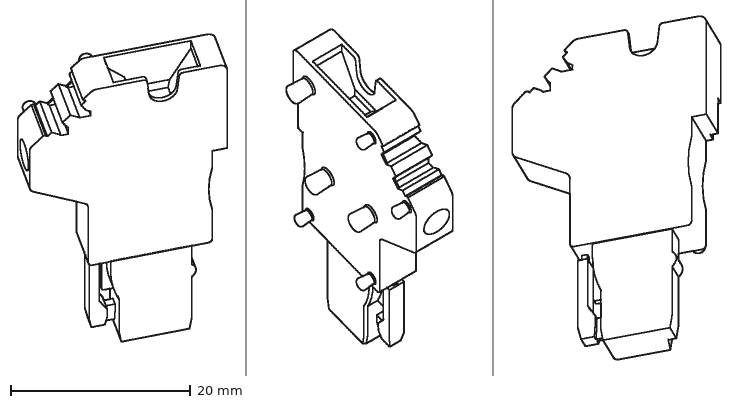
import cadquery as cq
import math

BODY_WIDTH = 5.1
TOP_Z = 41.0
BODY_BOTTOM_Z = 13.2
BACK_Y = 22.9
BACK_STEP_Y = 21.15
BACK_STEP_Z = 27.65
LOWER_FRONT_Y = 6.8
CORNER_RADIUS = 1.0
BOTTOM_CORNER_RADIUS = 0.5
NOSE_LOW_Z = 26.9
NOSE_UNDERSIDE_ANGLE = math.radians(30)
HOLLOW_Z = 21.7
HOLLOW_HALF_LENGTH = 3.3
HOLLOW_DEPTH = 0.4

SLOPE_TOP_Y = 7.38
RIDGE_DEPTH = 0.47
GROOVE_DEPTH = 1.47
GROOVE_MOUTH = 1.76
GROOVE_FLOOR = 1.28
GROOVE_STARTS = (2.47, 5.53)
UNDERCUT_CORNERS = ((7.1, 37.0), (4.5, 34.75))
OVERHANG_SLOPE = 0.75
UNDERCUT_SILL = 0.2
UNDERCUT_X = 0.2
TOOTH_ZONE_START = 1.73
TOOTH_ZONE_END = 8.0
LIP_DEPTH = 0.2

BACK_RECESS_DEPTH_X = 1.0
BACK_RECESS_DEPTH_Y = 0.92
BACK_RECESS_TOP_Z = 32.35

ENTRY_X = 2.84
ENTRY_Z = 30.43
ENTRY_RADIUS = 1.78
ENTRY_DEPTH = 6.0

POCKET_X_MIN = 0.51
POCKET_X_MAX = 4.56
POCKET_BACK_Y = 19.92
POCKET_FRONT_Y = 9.85
POCKET_BACK_WALL = 1.2
POCKET_FLOOR_Z = 34.9
FLOOR_BACK_Y = 17.12
FLOOR_FRONT_Y = 14.2
RAMP_STEP_LOW_Y = 12.4
RAMP_STEP_HIGH_Y = 12.2
RAMP_STEP_HEIGHT = 0.6
RAMP_TOP_Y = 10.14
RAMP_SLOPE = 1.0
FLOOR_BEVEL_HEIGHT = 0.6
LEFT_BEVEL_WIDTH = 0.58
RIGHT_BEVEL_WIDTH = 0.26

NOTCH_Y = 15.48
NOTCH_RADIUS = 1.65
NOTCH_BOTTOM_Z = 37.1
NOTCH_WALL_LEAN = math.radians(6)
NOTCH_RIM_RADIUS = 0.45

LARGE_PINS = ((19.93, 37.12), (16.42, 24.55), (8.42, 25.76))
SMALL_PINS = ((8.26, 39.27), (1.73, 33.47), (19.79, 14.58), (8.26, 14.58))
LARGE_PIN = {"length": 2.48, "crown_radius": 1.15, "neck_radius": 1.05, "neck_start": 0.5, "neck_end": 0.25}
SMALL_PIN = {"length": 1.75, "crown_radius": 0.76, "neck_radius": 0.67, "neck_start": 0.32, "neck_end": 0.18}
PIN_TIP_RADIUS = 0.3

PLUG_X_MIN = 0.7
PLUG_X_MAX = 4.97
PLUG_BACK_Y = 18.81
PLUG_FRONT_Y = 10.41
PLUG_UPPER_FRONT_Y = 9.43
PLUG_CURVE_TOP_Z = 11.34
PLUG_CURVE_BOTTOM_Z = 6.8
PLUG_TAPER_Z = 1.6
PLUG_TAPER = 0.25
PLUG_BEVEL_X = 0.32
PLUG_BEVEL_Y = 0.25
BUMP_Z = 9.17
BUMP_HALF_LENGTH = 1.0
BUMP_HEIGHT = 0.5
STRIP_DEPTH = 2.0
STRIP_EDGE_Y = 17.85
STRIP_RISE_Y = 0.42
OVERLAP = 0.5

LEVER_X = 2.75
LEVER_WIDTH = 2.05
LEVER_FRONT_Y = 7.28
LEVER_BACK_Y = 8.45
LEVER_FOOT_BACK_Y = 9.36
LEVER_TOP_Z = 12.17
LEVER_KNEE_Z = 5.88
LEVER_FOOT_Z = 4.35
LEVER_TAPER_Z = 3.2
LEVER_BOTTOM_Z = 1.71
LEVER_FRONT_TAPER = 0.3
LEVER_BACK_TAPER = 0.2
LEVER_SIDE_TAPER = 0.25
STEM_WIDTH = 0.67
STEM_FRONT_Y = 7.53
STEM_BACK_Y = 8.2
BRIDGE_WIDTH = 0.9
LUG_FRONT_Y = 8.88
LUG_CORNER_RADIUS = 0.3


def side_sketch(x):
    """Workplane with local axes Y and Z at the given X, extruding toward +X."""
    return cq.Workplane("YZ", origin=(x, 0, 0))


def slope_point(along, depth):
    """Y, Z of a point given along the toothed slope and below its plane."""
    return (
        SLOPE_TOP_Y + (depth - along) / math.sqrt(2),
        TOP_Z - (depth + along) / math.sqrt(2),
    )


def tooth_outline():
    """Stepped outline down the slope, from the top lip to the nose lip."""
    groove_taper = (GROOVE_MOUTH - GROOVE_FLOOR) / 2
    points = [
        slope_point(TOOTH_ZONE_START, 0),
        slope_point(TOOTH_ZONE_START, RIDGE_DEPTH),
    ]
    for start in GROOVE_STARTS:
        end = start + GROOVE_MOUTH
        points += [
            slope_point(start, RIDGE_DEPTH),
            slope_point(start + groove_taper, GROOVE_DEPTH),
            slope_point(end - groove_taper, GROOVE_DEPTH),
            slope_point(end, RIDGE_DEPTH),
        ]
    points += [
        slope_point(TOOTH_ZONE_END, RIDGE_DEPTH),
        slope_point(TOOTH_ZONE_END, LIP_DEPTH),
        slope_point(TOOTH_ZONE_END + LIP_DEPTH, 0),
    ]
    return points


def round_edges(body, radius, corners):
    """Fillet the X-direction edges that pass through the given Y, Z corners."""
    for y, z in corners:
        edge = cq.selectors.NearestToPointSelector((BODY_WIDTH / 2, y, z))
        body = body.edges("|X").edges(edge).fillet(radius)
    return body


def make_housing():
    slope_foot = (0, TOP_Z - SLOPE_TOP_Y)
    nose_low = (0, NOSE_LOW_Z)
    nose_root = (LOWER_FRONT_Y, NOSE_LOW_Z - LOWER_FRONT_Y * math.tan(NOSE_UNDERSIDE_ANGLE))
    body = (
        side_sketch(0)
        .moveTo(BACK_Y, TOP_Z)
        .lineTo(SLOPE_TOP_Y, TOP_Z)
    )
    for point in tooth_outline():
        body = body.lineTo(*point)
    body = (
        body.lineTo(*slope_foot)
        .lineTo(*nose_low)
        .lineTo(*nose_root)
        .lineTo(LOWER_FRONT_Y, BODY_BOTTOM_Z)
        .lineTo(BACK_STEP_Y, BODY_BOTTOM_Z)
        .lineTo(BACK_STEP_Y, HOLLOW_Z - HOLLOW_HALF_LENGTH)
        .threePointArc(
            (BACK_STEP_Y - HOLLOW_DEPTH, HOLLOW_Z),
            (BACK_STEP_Y, HOLLOW_Z + HOLLOW_HALF_LENGTH),
        )
        .lineTo(BACK_STEP_Y, BACK_STEP_Z)
        .lineTo(BACK_Y, BACK_STEP_Z)
        .close()
        .extrude(BODY_WIDTH)
    )
    body = round_edges(
        body,
        CORNER_RADIUS,
        [(BACK_Y, TOP_Z), (SLOPE_TOP_Y, TOP_Z), slope_foot, nose_low, nose_root],
    )
    return round_edges(
        body,
        BOTTOM_CORNER_RADIUS,
        [(LOWER_FRONT_Y, BODY_BOTTOM_Z), (BACK_STEP_Y, BODY_BOTTOM_Z)],
    )


def make_undercut(groove_start, corner):
    """Deepens one groove behind a sloping overhang, with a vertical wall and a level floor."""
    groove_taper = (GROOVE_MOUTH - GROOVE_FLOOR) / 2
    groove_end = groove_start + GROOVE_MOUTH
    upper_mouth = slope_point(groove_start, RIDGE_DEPTH)
    upper_root = slope_point(groove_start + groove_taper, GROOVE_DEPTH)
    lower_root = slope_point(groove_end - groove_taper, GROOVE_DEPTH)
    lower_mouth = slope_point(groove_end, RIDGE_DEPTH)
    corner_y, floor_z = corner
    overhang_z = upper_root[1] - OVERHANG_SLOPE * (corner_y - upper_root[0])
    return (
        side_sketch(UNDERCUT_X)
        .polyline([
            upper_mouth,
            upper_root,
            (corner_y, overhang_z),
            (corner_y, floor_z),
            (lower_root[0] + UNDERCUT_SILL, floor_z),
            lower_root,
            lower_mouth,
        ])
        .close()
        .extrude(BODY_WIDTH - UNDERCUT_X)
    )


def make_back_recess():
    return cq.Workplane("XY").box(
        BACK_RECESS_DEPTH_X,
        BACK_RECESS_DEPTH_Y,
        BACK_RECESS_TOP_Z - BACK_STEP_Z,
        centered=False,
    ).translate((0, BACK_Y - BACK_RECESS_DEPTH_Y, BACK_STEP_Z))


def make_wire_entry():
    return (
        cq.Workplane("XZ", origin=(ENTRY_X, 0, ENTRY_Z))
        .circle(ENTRY_RADIUS)
        .extrude(-ENTRY_DEPTH)
    )


def make_floor_bevel(wall_x, width):
    """Wedge along Y that bevels the pocket floor beside one side wall."""
    return (
        cq.Workplane("XZ", origin=(wall_x, POCKET_FRONT_Y, POCKET_FLOOR_Z))
        .polyline([(0, 0), (width, 0), (0, FLOOR_BEVEL_HEIGHT)])
        .close()
        .extrude(POCKET_FRONT_Y - POCKET_BACK_Y)
    )


def make_pocket():
    step_low_z = POCKET_FLOOR_Z + RAMP_SLOPE * (FLOOR_FRONT_Y - RAMP_STEP_LOW_Y)
    step_high_z = step_low_z + RAMP_STEP_HEIGHT
    ramp_top_z = step_high_z + RAMP_SLOPE * (RAMP_STEP_HIGH_Y - RAMP_TOP_Y)
    pocket = (
        side_sketch(POCKET_X_MIN)
        .polyline([
            (POCKET_BACK_Y, TOP_Z),
            (POCKET_BACK_Y, TOP_Z - POCKET_BACK_WALL),
            (FLOOR_BACK_Y, POCKET_FLOOR_Z),
            (FLOOR_FRONT_Y, POCKET_FLOOR_Z),
            (RAMP_STEP_LOW_Y, step_low_z),
            (RAMP_STEP_HIGH_Y, step_high_z),
            (RAMP_TOP_Y, ramp_top_z),
            (POCKET_FRONT_Y, TOP_Z),
        ])
        .close()
        .extrude(POCKET_X_MAX - POCKET_X_MIN)
    )
    left_bevel = make_floor_bevel(POCKET_X_MIN, LEFT_BEVEL_WIDTH)
    right_bevel = make_floor_bevel(POCKET_X_MAX, -RIGHT_BEVEL_WIDTH)
    return pocket.cut(left_bevel).cut(right_bevel)


def make_notch():
    """U-shaped cutter whose mouth flares out with rounded rims."""
    arc_center_z = NOTCH_BOTTOM_Z + NOTCH_RADIUS
    arc_end_y = NOTCH_RADIUS * math.cos(NOTCH_WALL_LEAN)
    arc_end_z = arc_center_z - NOTCH_RADIUS * math.sin(NOTCH_WALL_LEAN)
    rim_z = TOP_Z - NOTCH_RIM_RADIUS
    rim_y = arc_end_y + (rim_z - arc_end_z) * math.tan(NOTCH_WALL_LEAN)
    mouth_y = rim_y + NOTCH_RIM_RADIUS
    rim_mid_y = mouth_y - NOTCH_RIM_RADIUS * math.sqrt(0.5)
    rim_mid_z = rim_z + NOTCH_RIM_RADIUS * math.sqrt(0.5)
    return (
        cq.Workplane("YZ", origin=(POCKET_X_MAX, NOTCH_Y, 0))
        .moveTo(-mouth_y, TOP_Z)
        .lineTo(mouth_y, TOP_Z)
        .threePointArc((rim_mid_y, rim_mid_z), (rim_y, rim_z))
        .lineTo(arc_end_y, arc_end_z)
        .threePointArc((0, NOTCH_BOTTOM_Z), (-arc_end_y, arc_end_z))
        .lineTo(-rim_y, rim_z)
        .threePointArc((-rim_mid_y, rim_mid_z), (-mouth_y, TOP_Z))
        .close()
        .extrude(BODY_WIDTH - POCKET_X_MAX)
    )


def make_pin(y, z, length, crown_radius, neck_radius, neck_start, neck_end):
    """Turned pin pointing to -X: rounded tip, slight taper to a neck, flared foot."""
    arc_mid = PIN_TIP_RADIUS * (1 - math.sqrt(0.5))
    return (
        cq.Workplane("XY")
        .moveTo(OVERLAP, 0)
        .lineTo(-length, 0)
        .lineTo(-length, crown_radius - PIN_TIP_RADIUS)
        .threePointArc(
            (arc_mid - length, crown_radius - arc_mid),
            (PIN_TIP_RADIUS - length, crown_radius),
        )
        .lineTo(-neck_start, neck_radius)
        .lineTo(-neck_end, neck_radius)
        .lineTo(0, crown_radius)
        .lineTo(OVERLAP, crown_radius)
        .close()
        .revolve(360, (0, 0, 0), (1, 0, 0))
        .translate((0, y, z))
    )


def make_plug_profile():
    """Plug side outline, extruded over the full plug width."""
    rise = PLUG_CURVE_TOP_Z - PLUG_CURVE_BOTTOM_Z
    swing = PLUG_FRONT_Y - PLUG_UPPER_FRONT_Y
    curve_radius = (rise**2 + swing**2) / (2 * swing)
    half_angle = math.asin(rise / curve_radius) / 2
    curve_mid = (
        PLUG_UPPER_FRONT_Y + curve_radius * (1 - math.cos(half_angle)),
        PLUG_CURVE_TOP_Z - curve_radius * math.sin(half_angle),
    )
    top_z = BODY_BOTTOM_Z + OVERLAP
    return (
        side_sketch(PLUG_X_MIN)
        .moveTo(PLUG_BACK_Y, top_z)
        .lineTo(PLUG_UPPER_FRONT_Y, top_z)
        .lineTo(PLUG_UPPER_FRONT_Y, PLUG_CURVE_TOP_Z)
        .threePointArc(curve_mid, (PLUG_FRONT_Y, PLUG_CURVE_BOTTOM_Z))
        .lineTo(PLUG_FRONT_Y, PLUG_TAPER_Z)
        .lineTo(PLUG_FRONT_Y + PLUG_TAPER, 0)
        .lineTo(PLUG_BACK_Y - PLUG_TAPER, 0)
        .lineTo(PLUG_BACK_Y, PLUG_TAPER_Z)
        .lineTo(PLUG_BACK_Y, BUMP_Z - BUMP_HALF_LENGTH)
        .threePointArc(
            (PLUG_BACK_Y + BUMP_HEIGHT, BUMP_Z),
            (PLUG_BACK_Y, BUMP_Z + BUMP_HALF_LENGTH),
        )
        .close()
        .extrude(PLUG_X_MAX - PLUG_X_MIN)
    )


def make_strip_cut():
    """Lowers the back strip of the -X side, with a sloped step along the plug."""
    inner_y = STRIP_EDGE_Y - STRIP_RISE_Y
    beyond_y = PLUG_BACK_Y + BUMP_HEIGHT
    section = [
        (PLUG_X_MIN, inner_y),
        (PLUG_X_MIN + STRIP_DEPTH, STRIP_EDGE_Y),
        (PLUG_X_MIN + STRIP_DEPTH, beyond_y),
        (PLUG_X_MIN, beyond_y),
    ]
    foot = [(x, y - PLUG_TAPER) for x, y in section]
    straight = (
        cq.Workplane("XY", origin=(0, 0, PLUG_TAPER_Z))
        .polyline(section)
        .close()
        .extrude(BODY_BOTTOM_Z - PLUG_TAPER_Z)
    )
    tapered = (
        cq.Workplane("XY")
        .polyline(foot)
        .close()
        .workplane(offset=PLUG_TAPER_Z)
        .polyline(section)
        .close()
        .loft(ruled=True)
    )
    return straight.union(tapered)


def make_plug():
    """Plug block with a beveled front edge and a lowered back strip on its -X side."""
    plug = make_plug_profile()
    front = cq.selectors.BoxSelector(
        (PLUG_X_MIN - OVERLAP, PLUG_UPPER_FRONT_Y - OVERLAP, OVERLAP),
        (PLUG_X_MIN + OVERLAP, PLUG_FRONT_Y + 2 * PLUG_TAPER, BODY_BOTTOM_Z),
    )
    side_face = plug.faces("<X")
    plug = side_face.edges(front).chamfer(PLUG_BEVEL_X, PLUG_BEVEL_Y)
    return plug.cut(make_strip_cut())


def centered_block(x_width, y_min, y_max, z_min, z_max):
    """Box centered on the lever in X."""
    return cq.Workplane("XY").box(x_width, y_max - y_min, z_max - z_min, centered=False).translate(
        (LEVER_X - x_width / 2, y_min, z_min)
    )


def make_tapered_foot(x_width, y_front, y_back, front_taper, back_taper):
    """Lever foot that narrows downward from the taper line to the lever bottom."""
    height = LEVER_TAPER_Z - LEVER_BOTTOM_Z
    low_front = y_front + front_taper
    low_back = y_back - back_taper
    return (
        cq.Workplane("XY", origin=(LEVER_X, (y_front + y_back) / 2, LEVER_TAPER_Z))
        .rect(x_width, y_back - y_front)
        .workplane(offset=-height)
        .center(0, (front_taper - back_taper) / 2)
        .rect(x_width - 2 * LEVER_SIDE_TAPER, low_back - low_front)
        .loft(ruled=True)
    )


def make_lever():
    """Locking lever on its stem, bridged to the plug at the foot."""
    arm = (
        side_sketch(LEVER_X - LEVER_WIDTH / 2)
        .polyline([
            (LEVER_FRONT_Y, LEVER_TOP_Z),
            (LEVER_BACK_Y, LEVER_TOP_Z),
            (LEVER_BACK_Y, LEVER_KNEE_Z),
            (LEVER_FOOT_BACK_Y, LEVER_FOOT_Z),
            (LEVER_FOOT_BACK_Y, LEVER_TAPER_Z),
            (LEVER_FRONT_Y, LEVER_TAPER_Z),
        ])
        .close()
        .extrude(LEVER_WIDTH)
    )
    foot = make_tapered_foot(
        LEVER_WIDTH, LEVER_FRONT_Y, LEVER_FOOT_BACK_Y, LEVER_FRONT_TAPER, LEVER_BACK_TAPER
    )
    bridge_back_y = PLUG_FRONT_Y + OVERLAP
    bridge = centered_block(
        BRIDGE_WIDTH, LEVER_BACK_Y, bridge_back_y, LEVER_TAPER_Z, LEVER_FOOT_Z
    )
    bridge_foot = make_tapered_foot(BRIDGE_WIDTH, LEVER_BACK_Y, bridge_back_y, 0, 0)
    stem = centered_block(
        STEM_WIDTH, STEM_FRONT_Y, STEM_BACK_Y, LEVER_TOP_Z - OVERLAP, BODY_BOTTOM_Z + OVERLAP
    )
    return arm.union(foot).union(bridge).union(bridge_foot).union(stem)


def make_lug():
    """Narrow rib on the plug front, behind the lever."""
    lug = centered_block(
        STEM_WIDTH, LUG_FRONT_Y, PLUG_FRONT_Y + OVERLAP, PLUG_CURVE_BOTTOM_Z, BODY_BOTTOM_Z + OVERLAP
    )
    return lug.edges("|X and <Y and <Z").fillet(LUG_CORNER_RADIUS)


result = make_housing()
for cutter in (make_back_recess(), make_wire_entry(), make_pocket(), make_notch()):
    result = result.cut(cutter)
for groove, undercut_corner in zip(GROOVE_STARTS, UNDERCUT_CORNERS):
    result = result.cut(make_undercut(groove, undercut_corner))
for addition in (make_plug(), make_lug(), make_lever()):
    result = result.union(addition)
for pin_y, pin_z in LARGE_PINS:
    result = result.union(make_pin(pin_y, pin_z, **LARGE_PIN))
for pin_y, pin_z in SMALL_PINS:
    result = result.union(make_pin(pin_y, pin_z, **SMALL_PIN))